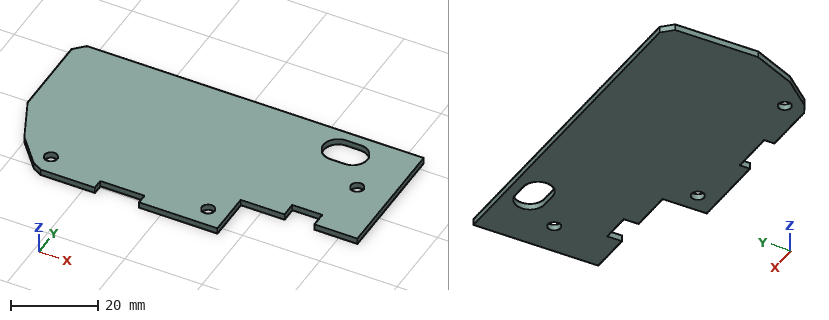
import cadquery as cq

length = 89.8
width = 44.45
thickness = 1.6

chamfer = 2.6

left_edge_end = (0, 20.0)
upper_bend = (5.0, 8.8)
lower_bend = (11.4, 1.35)
bottom_edge_start = (13.9, 0)

step_x = 59.6
step_height = 11.6

bottom_notch_left = 27.9
bottom_notch_length = 11.4
bottom_notch_depth = 2.7
step_notch_left = 70.9
step_notch_length = 7.7
step_notch_depth = 3.9

hole_diameter = 3.2
lower_hole_y = 5.2
hole_centers = [(13.8, lower_hole_y), (54.5, lower_hole_y), (81.2, 28.0)]

slot_center = (72.9, 38.0)
slot_length = 11.4
slot_width = 7.6


def make_notch(left, bottom, notch_length, depth):
    """Block that cuts a notch upward from a bottom edge, through the plate."""
    return (
        cq.Workplane("XY")
        .box(notch_length, depth, thickness, centered=False)
        .translate((left, bottom, 0))
    )


plate = (
    cq.Workplane("XY")
    .polyline([
        bottom_edge_start,
        (step_x, 0),
        (step_x, step_height),
        (length, step_height),
        (length, width),
        (chamfer, width),
        (0, width - chamfer),
        left_edge_end,
        upper_bend,
        lower_bend,
    ])
    .close()
    .extrude(thickness)
)

plate = plate.cut(make_notch(bottom_notch_left, 0, bottom_notch_length, bottom_notch_depth))
plate = plate.cut(make_notch(step_notch_left, step_height, step_notch_length, step_notch_depth))

holes = cq.Workplane("XY").pushPoints(hole_centers).circle(hole_diameter / 2).extrude(thickness)
slot = cq.Workplane("XY").center(*slot_center).slot2D(slot_length, slot_width).extrude(thickness)

result = plate.cut(holes).cut(slot)